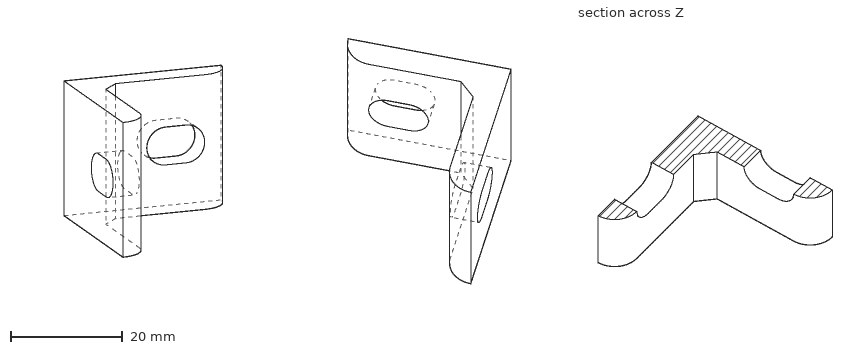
import cadquery as cq
import math

leg_length = 30.0
height = 25.0
thickness = 5.0
corner_chamfer = 3.0
slot_length = 11.0
slot_width = 7.0
slot_center = 19.5

tip_radius = thickness
straight_end = leg_length - tip_radius
chamfer_end = thickness + corner_chamfer
arc_mid_offset = tip_radius * math.sqrt(0.5)


def angle_body():
    """L-shaped profile with rounded tips and a filled inner corner."""
    arc_mid_along = straight_end + arc_mid_offset
    return (
        cq.Workplane("XY")
        .lineTo(leg_length, 0)
        .threePointArc((arc_mid_along, arc_mid_offset), (straight_end, thickness))
        .lineTo(chamfer_end, thickness)
        .lineTo(thickness, chamfer_end)
        .lineTo(thickness, straight_end)
        .threePointArc((arc_mid_offset, arc_mid_along), (0, leg_length))
        .close()
        .extrude(height)
    )


def slot_cutter(plane, depth):
    """Horizontal slot at mid height, starting on an outer face of the angle."""
    return (
        cq.Workplane(plane)
        .center(slot_center, height / 2)
        .slot2D(slot_length, slot_width)
        .extrude(depth)
    )


front_slot = slot_cutter("XZ", -thickness)
side_slot = slot_cutter("YZ", thickness)

result = angle_body().cut(front_slot).cut(side_slot)